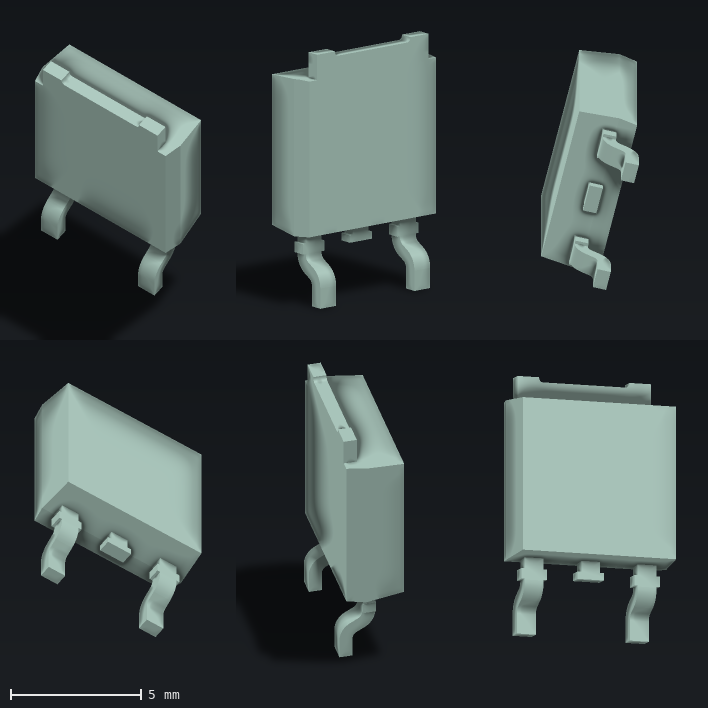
import cadquery as cq
import math

total_height = 10.01

body_width = 6.5
body_depth = 2.29
parting_y = 0.74
body_bottom = 2.77
body_top = 9.01
rear_draft = 5.0
front_side_inset = 0.16
front_bottom_inset = 0.08

pad_thickness = 0.52
tab_width = 5.42
pad_width = 5.03
pad_bottom = 4.76
lock_notch_height = 0.54
lock_notch_gap = 3.94
tab_recess_width = 3.66
tab_recess_depth = 0.19
tab_recess_fillet = 0.16

lead_thickness = 0.52
lead_offset = 2.29
lead_width = 0.77
shoulder_width = 1.03
shoulder_top = 2.39
shoulder_bottom = 1.98
stub_width = 0.75
stub_head_width = 1.07
stub_bottom = 2.1
lead_embed = 0.5
bend_start = 1.95
bend_inner_radius = 0.3
bend_angle = math.radians(62)
foot_y = -0.16


def box(width, y_min, y_max, z_min, z_max, x=0):
    """Box centred on x, spanning the given Y and Z ranges."""
    size = (width, y_max - y_min, z_max - z_min)
    return cq.Workplane().box(*size, centered=(True, False, False)).translate((x, y_min, z_min))


def make_body():
    """Drafted block: the side outline intersected with the plan outline."""
    draft_slope = math.tan(math.radians(rear_draft))
    rear_inset = (body_depth - parting_y) * draft_slope
    rear_top = body_top - (body_depth - pad_thickness) * draft_slope
    half_width = body_width / 2
    side_outline = [
        (0, body_bottom + front_bottom_inset),
        (parting_y, body_bottom),
        (body_depth, body_bottom + rear_inset),
        (body_depth, rear_top),
        (pad_thickness, body_top),
        (0, body_top),
    ]
    half_plan = [
        (half_width - front_side_inset, 0),
        (half_width, parting_y),
        (half_width - rear_inset, body_depth),
    ]
    plan_outline = half_plan + [(-x, y) for x, y in reversed(half_plan)]
    side = cq.Workplane("YZ").polyline(side_outline).close().extrude(half_width, both=True)
    plan = cq.Workplane("XY").polyline(plan_outline).close().extrude(total_height)
    return side.intersect(plan)


def make_pad():
    """Flush pad with round-ended mould-lock notches and a recessed top edge."""
    notch_bottom = body_top - lock_notch_height
    notch_radius = lock_notch_height / 2
    pad = box(pad_width, 0, pad_thickness, pad_bottom, notch_bottom)
    pad = pad.union(box(tab_width, 0, pad_thickness, notch_bottom, total_height))
    for side in (-1, 1):
        round_center = side * (lock_notch_gap / 2 + notch_radius)
        notch_round = (
            cq.Workplane("XZ")
            .center(round_center, notch_bottom + notch_radius)
            .circle(notch_radius)
            .extrude(-pad_thickness)
        )
        notch_length = tab_width / 2 - abs(round_center)
        notch_center = round_center + side * notch_length / 2
        notch = box(notch_length, 0, pad_thickness, notch_bottom, body_top, notch_center)
        pad = pad.cut(notch_round).cut(notch)
    recess = box(tab_recess_width, 0, pad_thickness, total_height - tab_recess_depth, total_height)
    return pad.cut(recess.edges("|Y and <Z").fillet(tab_recess_fillet))


def make_lead(x):
    """Strip swept along an S-bend, with a wider shoulder near the body."""
    start_y = parting_y + lead_thickness / 2
    end_y = foot_y + lead_thickness / 2
    radius = bend_inner_radius + lead_thickness / 2
    arc_y = radius * (1 - math.cos(bend_angle))
    arc_z = radius * math.sin(bend_angle)
    mid_y = radius * (1 - math.cos(bend_angle / 2))
    mid_z = radius * math.sin(bend_angle / 2)
    slope_drop = (start_y - end_y - 2 * arc_y) / math.tan(bend_angle)
    bend_end = bend_start - 2 * arc_z - slope_drop
    lead_top = body_bottom + lead_embed
    path = (
        cq.Workplane("YZ", origin=(x, 0, 0))
        .moveTo(start_y, lead_top)
        .lineTo(start_y, bend_start)
        .threePointArc((start_y - mid_y, bend_start - mid_z), (start_y - arc_y, bend_start - arc_z))
        .lineTo(end_y + arc_y, bend_end + arc_z)
        .threePointArc((end_y + mid_y, bend_end + mid_z), (end_y, bend_end))
        .lineTo(end_y, 0)
    )
    section = cq.Workplane("XY", origin=(x, start_y, lead_top)).rect(lead_width, lead_thickness)
    lead_back = parting_y + lead_thickness
    shoulder = box(shoulder_width, parting_y, lead_back, shoulder_bottom, shoulder_top, x)
    return section.sweep(path).union(shoulder)


def make_stub():
    """Cropped centre lead ending in its wider head."""
    lead_back = parting_y + lead_thickness
    neck = box(stub_width, parting_y, lead_back, stub_bottom, body_bottom + lead_embed)
    return neck.union(box(stub_head_width, parting_y, lead_back, stub_bottom, shoulder_top))


result = make_body().union(make_stub())
for lead_x in (-lead_offset, lead_offset):
    result = result.union(make_lead(lead_x))
pad = make_pad()
result = result.cut(pad).union(pad, clean=False)